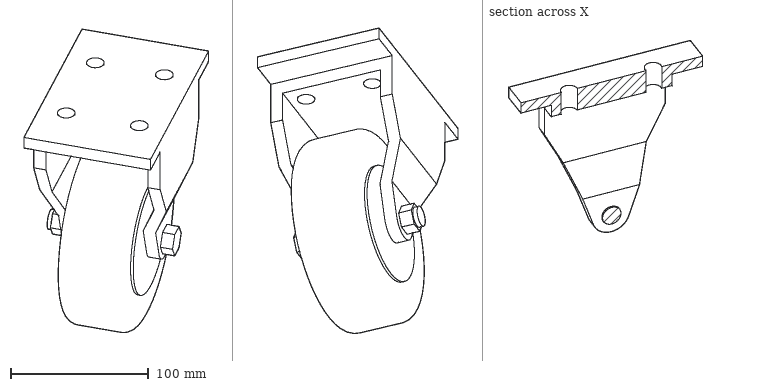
import cadquery as cq
import math


plate_width = 96.0
plate_length = 144.5
plate_thickness = 9.5
wheel_radius = 72.2
overall_height = 192.5
plate_top = overall_height - wheel_radius
plate_bottom = plate_top - plate_thickness

hole_diameter = 12.7
rear_hole_y = 33.9
rear_hole_spacing = 52.4
front_hole_y = -33.5
front_hole_spacing = 55.5

leg_thickness = 9.5
web_bottom = plate_top - 19.5
half_width = plate_width / 2
leg_outer_low = 36.8
upper_bend_z = 48.3
lower_bend_z = 20.5

leg_half_length = 48.1
taper_start_z = 77.5
upper_taper_half_length = 33.1
lower_taper_z = 23.9
lower_taper_half_length = 23.9
tip_radius = 14.8

axle_diameter = 15.0
axle_overhang = 2.1
axle_end = half_width + axle_overhang
nut_flats = 18.0
nut_thickness = 10.0
head_flats = 18.9
head_thickness = 9.2

tread_width = 48.1
tread_rounding = 7.7
hub_radius = 43.3
hub_width = 52.2


def mirror(points):
    """Points reflected across the vertical axis, in reverse order."""
    return [(-across, z) for across, z in reversed(points)]


def make_disc(start_x, end_x, radius):
    """Round disc along X, centred on the axle."""
    return cq.Workplane("YZ").workplane(offset=start_x).circle(radius).extrude(end_x - start_x)


def make_plate():
    plate = cq.Workplane("XY").workplane(offset=plate_bottom)
    return plate.rect(plate_width, plate_length).extrude(plate_thickness)


def make_mounting_holes():
    """Cutters through the plate and the top web of the fork."""
    hole_rows = [(rear_hole_y, rear_hole_spacing), (front_hole_y, front_hole_spacing)]
    centres = [(side * spacing / 2, y) for y, spacing in hole_rows for side in (-1, 1)]
    holes = cq.Workplane("XY").workplane(offset=web_bottom).pushPoints(centres)
    return holes.circle(hole_diameter / 2).extrude(plate_top - web_bottom)


def make_bent_strip():
    """Bent U section, extruded along Y."""
    outer = [
        (leg_outer_low, -tip_radius),
        (leg_outer_low, lower_bend_z),
        (half_width, upper_bend_z),
        (half_width, plate_bottom),
    ]
    inner = [
        (half_width - leg_thickness, web_bottom),
        (half_width - leg_thickness, upper_bend_z),
        (leg_outer_low - leg_thickness, lower_bend_z),
        (leg_outer_low - leg_thickness, -tip_radius),
    ]
    outline = outer + mirror(outer) + mirror(inner) + inner
    return cq.Workplane("XZ").polyline(outline).close().extrude(leg_half_length, both=True)


def make_leg_profile():
    """Tapered leg outline, extruded along X over the full fork width."""
    distance = math.hypot(lower_taper_half_length, lower_taper_z)
    angle = math.atan2(lower_taper_z, lower_taper_half_length) - math.acos(tip_radius / distance)
    tangent_y = tip_radius * math.cos(angle)
    tangent_z = tip_radius * math.sin(angle)
    side = [
        (tangent_y, tangent_z),
        (lower_taper_half_length, lower_taper_z),
        (upper_taper_half_length, upper_bend_z),
        (leg_half_length, taper_start_z),
        (leg_half_length, plate_bottom),
    ]
    outline = cq.Workplane("YZ").polyline(side + mirror(side))
    outline = outline.threePointArc((0, -tip_radius), side[0]).close()
    return outline.extrude(half_width, both=True)


def make_hexagon(start_x, thickness, flats):
    """Hexagonal prism along X with its corners pointing along Y."""
    across_corners = flats / math.cos(math.pi / 6)
    return cq.Workplane("YZ").workplane(offset=start_x).polygon(6, across_corners).extrude(thickness)


def make_bolt():
    shank = make_disc(-axle_end, leg_outer_low, axle_diameter / 2)
    nut = make_hexagon(-leg_outer_low - nut_thickness, nut_thickness, nut_flats)
    head = make_hexagon(leg_outer_low, head_thickness, head_flats)
    return shank.union(nut).union(head)


def make_frame():
    """Plate, fork and axle bolt as one solid."""
    fork = make_bent_strip().intersect(make_leg_profile())
    return make_plate().union(fork).cut(make_mounting_holes()).union(make_bolt())


def make_wheel():
    """Rounded tread with a raised hub, bored to fit the axle."""
    tread = make_disc(-tread_width / 2, tread_width / 2, wheel_radius)
    tread = tread.edges("%CIRCLE").fillet(tread_rounding)
    hub = make_disc(-hub_width / 2, hub_width / 2, hub_radius)
    bore = make_disc(-hub_width / 2, hub_width / 2, axle_diameter / 2)
    return tread.union(hub).cut(bore)


frame = make_frame()
wheel = make_wheel()
result = cq.Compound.makeCompound([frame.val(), wheel.val()])